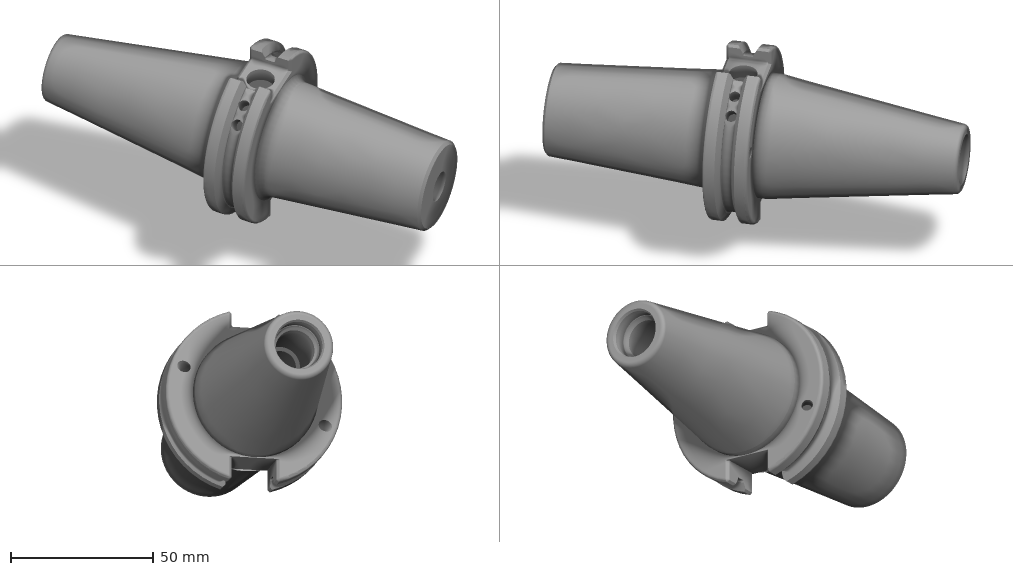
import math

import cadquery as cq


select_margin = 0.01

taper_length = 68.25
gauge_radius = 44.45 / 2
taper_slope = 7 / 48
shank_end_radius = gauge_radius - taper_slope * taper_length
shank_end_fillet = 1.6

flange_start = 2.95
flange_end = 19.1
flange_middle = (flange_start + flange_end) / 2
flange_radius = 63.55 / 2
start_edge_fillet = 1.2
end_edge_fillet = 1.0

groove_center = 11.1
groove_floor_radius = 56.25 / 2
groove_floor_width = 3.75
groove_corner_fillet = 0.4
groove_side_angle = 30
groove_rim_width = 7.07
groove_slope_height = (groove_rim_width - groove_floor_width) / 2 / math.tan(math.radians(groove_side_angle))
groove_slope_radius = flange_radius - groove_slope_height

nose_end = 80.0
neck_radius = 42 / 2
neck_start = 22.1
neck_end = 22.55
neck_fillet = 3.2
neck_fillet_rise = neck_fillet - math.sqrt(neck_fillet**2 - (neck_start - flange_end) ** 2)
neck_root_radius = neck_radius + neck_fillet_rise
nose_end_radius = 33 / 2
nose_edge_chamfer = 1.0

through_bore_radius = 11 / 2
thread_bore_radius = 14 / 2
thread_bore_depth = 30.0
counterbore_radius = 17 / 2
counterbore_depth = 5.5
thread_mouth_radius = 16.4 / 2
thread_mouth_length = 1.5
mouth_radius = 9.0
mouth_chamfer_length = 1.0

slot_width = 16.1
top_slot_floor = 25.0
bottom_slot_floor = 22.4
slot_edge_chamfer = 0.95
slot_corner_fillet = 0.7

pocket_diameter = 10.0
pocket_depth = 5.0

balance_hole_diameter = 4.0
balance_hole_depth = 6.0
balance_hole_angles = (30, 45, -30, -45)

coolant_hole_diameter = 4.0
coolant_circle_radius = 27.1
coolant_hole_lean = 35
coolant_hole_depth = 10.0
coolant_hole_angles = (70, 250)


def revolve_about_axis(outline):
    return outline.close().revolve(360, (0, 0, 0), (1, 0, 0))


def circle_selector(x, radius):
    """Select the full circles about the axis that lie at one X and have one radius."""
    margin = select_margin
    size = radius + margin
    core = radius - margin
    up_to_radius = cq.selectors.BoxSelector((x - margin, -size, -size), (x + margin, size, size), True)
    below_radius = cq.selectors.BoxSelector((x - margin, -core, -core), (x + margin, core, core), True)
    return up_to_radius - below_radius


def make_body():
    half_rim = groove_rim_width / 2
    half_floor = groove_floor_width / 2
    outline = (
        cq.Workplane("XZ")
        .moveTo(-taper_length, 0)
        .lineTo(-taper_length, shank_end_radius)
        .lineTo(0, gauge_radius)
        .lineTo(flange_start, gauge_radius)
        .lineTo(flange_start, flange_radius)
        .lineTo(groove_center - half_rim, flange_radius)
        .lineTo(groove_center - half_floor, groove_slope_radius)
        .lineTo(groove_center - half_floor, groove_floor_radius)
        .lineTo(groove_center + half_floor, groove_floor_radius)
        .lineTo(groove_center + half_floor, groove_slope_radius)
        .lineTo(groove_center + half_rim, flange_radius)
        .lineTo(flange_end, flange_radius)
        .lineTo(flange_end, neck_root_radius)
        .radiusArc((neck_start, neck_radius), -neck_fillet)
        .lineTo(neck_end, neck_radius)
        .lineTo(nose_end, nose_end_radius)
        .lineTo(nose_end, 0)
    )
    body = revolve_about_axis(outline)
    body = body.faces("<X").edges().fillet(shank_end_fillet)
    body = body.faces(">X").edges().chamfer(nose_edge_chamfer)
    body = body.edges(circle_selector(flange_start, flange_radius)).fillet(start_edge_fillet)
    body = body.edges(circle_selector(flange_end, flange_radius)).fillet(end_edge_fillet)
    for side in (-1, 1):
        groove_corner = circle_selector(groove_center + side * half_floor, groove_floor_radius)
        body = body.edges(groove_corner).fillet(groove_corner_fillet)
    return body


def make_bore():
    """Counterbore, thread bore and through bore as one revolved cutter."""
    cone_start = -taper_length + counterbore_depth
    thread_end = -taper_length + thread_bore_depth
    outline = (
        cq.Workplane("XZ")
        .moveTo(-taper_length, 0)
        .lineTo(-taper_length, mouth_radius)
        .lineTo(-taper_length + mouth_chamfer_length, counterbore_radius)
        .lineTo(cone_start, counterbore_radius)
        .lineTo(cone_start, thread_mouth_radius)
        .lineTo(cone_start + thread_mouth_length, thread_bore_radius)
        .lineTo(thread_end, thread_bore_radius)
        .lineTo(thread_end, through_bore_radius)
        .lineTo(nose_end, through_bore_radius)
        .lineTo(nose_end, 0)
    )
    return revolve_about_axis(outline)


def make_slot(floor, side):
    """Block with its floor at the given distance from the axis; side is 1 for +Z, -1 for -Z."""
    height = flange_radius
    length = flange_end - flange_start
    center_z = side * (floor + height / 2)
    return cq.Workplane("XY", origin=(flange_middle, 0, center_z)).box(length, slot_width, height)


def edges_in_slot(body, x_limits, z_limits):
    """Edges whose centres lie within the slot width and the given X and Z limits."""
    margin = select_margin
    half_width = slot_width / 2 + margin
    region = cq.selectors.BoxSelector(
        (x_limits[0] - margin, -half_width, z_limits[0] - margin),
        (x_limits[1] + margin, half_width, z_limits[1] + margin),
    )
    return body.edges(region).vals()


def break_slot_edges(body, z_limits, rim_z):
    """Chamfer the slot edges on both flange faces and along the flange rim."""
    edges = edges_in_slot(body, (flange_start, flange_start + start_edge_fillet), z_limits)
    edges += edges_in_slot(body, (flange_end - end_edge_fillet, flange_end), z_limits)
    edges += edges_in_slot(body, (flange_start, flange_end), (rim_z, rim_z))
    return cq.Workplane(body.val().chamfer(slot_edge_chamfer, None, edges))


def make_pocket():
    return (
        cq.Workplane("XY", origin=(groove_center, 0, top_slot_floor - pocket_depth))
        .circle(pocket_diameter / 2)
        .extrude(2 * pocket_depth)
    )


def make_balance_hole(angle):
    overshoot = flange_radius - groove_floor_radius
    hole = (
        cq.Workplane("XY", origin=(groove_center, 0, groove_floor_radius - balance_hole_depth))
        .circle(balance_hole_diameter / 2)
        .extrude(balance_hole_depth + overshoot)
    )
    return hole.rotate((0, 0, 0), (1, 0, 0), angle)


def make_coolant_hole(angle):
    lean = math.radians(coolant_hole_lean)
    direction = cq.Vector(math.cos(lean), 0, -math.sin(lean))
    entry = cq.Vector(flange_start, 0, coolant_circle_radius)
    hole = cq.Solid.makeCylinder(
        coolant_hole_diameter / 2,
        2 * coolant_hole_depth,
        entry - direction * coolant_hole_depth,
        direction,
    )
    return cq.Workplane(hole).rotate((0, 0, 0), (1, 0, 0), -angle)


def cut_drive_slots(body):
    rim_z = math.sqrt(flange_radius**2 - (slot_width / 2) ** 2)
    bottom_wall_limit = -bottom_slot_floor - slot_edge_chamfer
    body = body.cut(make_slot(top_slot_floor, 1)).cut(make_slot(bottom_slot_floor, -1))
    body = break_slot_edges(body, (top_slot_floor, flange_radius), rim_z)
    body = break_slot_edges(body, (-flange_radius, bottom_wall_limit), -rim_z)
    floor_limits = (top_slot_floor, top_slot_floor)
    floor_edges = edges_in_slot(body, (flange_middle, flange_middle), floor_limits)
    return cq.Workplane(body.val().fillet(slot_corner_fillet, floor_edges))


result = cut_drive_slots(make_body())
result = result.cut(make_bore())
result = result.cut(make_pocket())
for hole_angle in balance_hole_angles:
    result = result.cut(make_balance_hole(hole_angle))
for hole_angle in coolant_hole_angles:
    result = result.cut(make_coolant_hole(hole_angle))